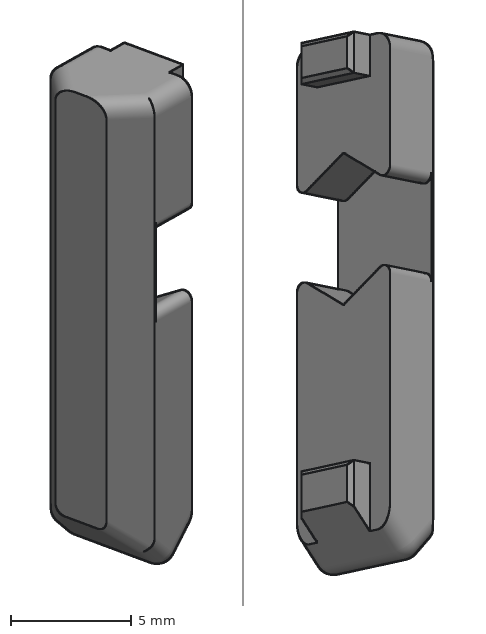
import cadquery as cq
import math

width = 5.6
height = 22.2
total_depth = 5.0
tab_depth = 1.1
body_depth = total_depth - tab_depth
back_y = body_depth / 2
front_y = -body_depth / 2
front_chamfer = 1.42
edge_radius = 0.75

front_bevel_start = 2.17
ridge_drop = edge_radius * (math.sqrt(2) - 1)
ridge_y = front_y + front_bevel_start + ridge_drop

pocket_z = 14.18
pocket_depth = 2.37
pocket_corner_diameter = width / math.cos(math.pi / 6)
pocket_mouth = pocket_corner_diameter / 2
mouth_radius = 0.4

tab_width = 3.15
tab_height = 1.75
tab_chamfer = 0.2
tab_overlap = 0.22
lower_tab_top = 3.97


def bevel_height(y):
    """Height of the unrounded foot bevels at depth y."""
    return abs(y - ridge_y) - ridge_drop


def make_body():
    half = width / 2
    front_half = half - front_chamfer
    section = [
        (-half, back_y),
        (-half, front_y + front_chamfer),
        (-front_half, front_y),
        (front_half, front_y),
        (half, front_y + front_chamfer),
        (half, back_y),
    ]
    bar = (
        cq.Workplane("XY").workplane(offset=-ridge_drop)
        .polyline(section).close().extrude(height + ridge_drop)
    )
    profile = [
        (back_y, height),
        (back_y, bevel_height(back_y)),
        (ridge_y, -ridge_drop),
        (front_y, bevel_height(front_y)),
        (front_y, height),
    ]
    side_shape = cq.Workplane("YZ").polyline(profile).close().extrude(half, both=True)
    return bar.intersect(side_shape)


def round_ends(body):
    """Round the top and foot edges, leaving those of the front and back faces sharp."""
    top_edges = body.faces(">Z").edges("not(<Y or >Y)")
    foot_edges = body.faces("<(0,1,1) or <(0,-1,1)").edges("not(<Y or >Y)")
    return body.newObject(top_edges.vals() + foot_edges.vals()).fillet(edge_radius)


def cut_nut_pocket(body):
    """Cut the hexagon with corners up and down, then round its four mouth edges."""
    pocket = (
        cq.Workplane("XZ", origin=(0, back_y, pocket_z))
        .transformed(rotate=(0, 0, 90))
        .polygon(6, pocket_corner_diameter).extrude(pocket_depth)
    )
    body = body.cut(pocket)
    middle_y = back_y - pocket_depth / 2
    mouth_edges = []
    for x in (-width / 2, width / 2):
        for z in (pocket_z - pocket_mouth / 2, pocket_z + pocket_mouth / 2):
            nearest = cq.selectors.NearestToPointSelector((x, middle_y, z))
            mouth_edges += body.edges(nearest).vals()
    return body.newObject(mouth_edges).fillet(mouth_radius)


def make_upper_tab():
    """Tab flush with the top, reaching into the body and chamfered around its back face."""
    return (
        cq.Workplane("XY")
        .box(tab_width, tab_overlap + tab_depth, tab_height, centered=(True, False, False))
        .translate((0, back_y - tab_overlap, height - tab_height))
        .faces(">Y").edges().chamfer(tab_chamfer)
    )


def make_lower_tab():
    """Tab whose underside continues the rear foot bevel."""
    tab_y = back_y + tab_depth
    inner_y = back_y - tab_overlap
    profile = [
        (inner_y, lower_tab_top),
        (inner_y, bevel_height(inner_y)),
        (tab_y, bevel_height(tab_y)),
        (tab_y, lower_tab_top),
    ]
    return (
        cq.Workplane("YZ").polyline(profile).close().extrude(tab_width / 2, both=True)
        .faces(">Y").edges("|Z or >Z").chamfer(tab_chamfer)
    )


body = cut_nut_pocket(round_ends(make_body()))
result = body.union(make_upper_tab()).union(make_lower_tab())